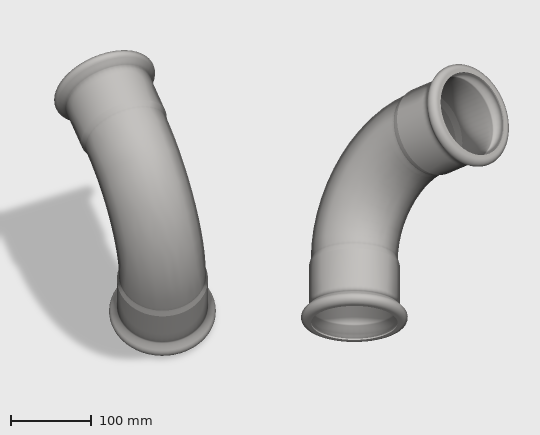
import cadquery as cq
import math

overall_length = 281.5
bead_outer_diameter = 132.5
socket_radius = 56.5
tube_radius = 54.0
wall = 2.5
lip_radius = 53.8
bead_round = 7.5
neck_round = 2.5
taper_start = 76.5
taper_end = 85.3

bead_outer_radius = bead_outer_diameter / 2
arm_length = overall_length - bead_outer_radius
bend_radius = arm_length - taper_end
diagonal = math.sqrt(0.5)

bead_center = (bead_outer_radius - bead_round, bead_round)
cone_sum = sum(bead_center) + bead_round / diagonal
neck_center_radius = socket_radius + neck_round
neck_center = (neck_center_radius, cone_sum + neck_round / diagonal - neck_center_radius)

bead_wall = wall * diagonal


def arc_point(center, radius, angle):
    """Point on a section arc; the angle is measured from the outward radial direction."""
    turn = math.radians(angle)
    return (center[0] + radius * math.cos(turn), center[1] + radius * math.sin(turn))


def socket_body(inset):
    """Solid of revolution bounded by the socket skin, moved radially inward by inset."""
    bead = bead_round - inset * diagonal
    neck = (neck_center[0] - inset, neck_center[1])
    return (
        cq.Workplane("XY")
        .moveTo(0, bead_center[1] - bead)
        .lineTo(*arc_point(bead_center, bead, -90))
        .threePointArc(arc_point(bead_center, bead, -22.5), arc_point(bead_center, bead, 45))
        .lineTo(*arc_point(neck, neck_round, 225))
        .threePointArc(arc_point(neck, neck_round, 202.5), arc_point(neck, neck_round, 180))
        .lineTo(socket_radius - inset, taper_start)
        .lineTo(tube_radius - inset, taper_end)
        .lineTo(0, taper_end)
        .close()
        .revolve(360, (0, 0), (0, 1))
    )


def socket():
    """Hollow socket with its mouth at the origin, opening toward -Y."""
    mouth = cq.Workplane("XZ").circle(lip_radius).extrude(-bead_wall)
    return socket_body(0).cut(socket_body(wall)).cut(mouth)


def bend():
    """Quarter-turn tube from the horizontal arm down to the vertical arm."""
    return (
        cq.Workplane("YZ", origin=(-bend_radius, 0, 0))
        .circle(tube_radius)
        .circle(tube_radius - wall)
        .revolve(90, (-2.8, -bend_radius), (2.8, -bend_radius))
    )


horizontal_socket = socket().rotate((0, 0, 0), (0, 0, 1), -90).translate((-arm_length, 0, 0))
vertical_socket = socket().rotate((0, 0, 0), (1, 0, 0), 90).translate((0, 0, -arm_length))

result = bend().union(horizontal_socket).union(vertical_socket)